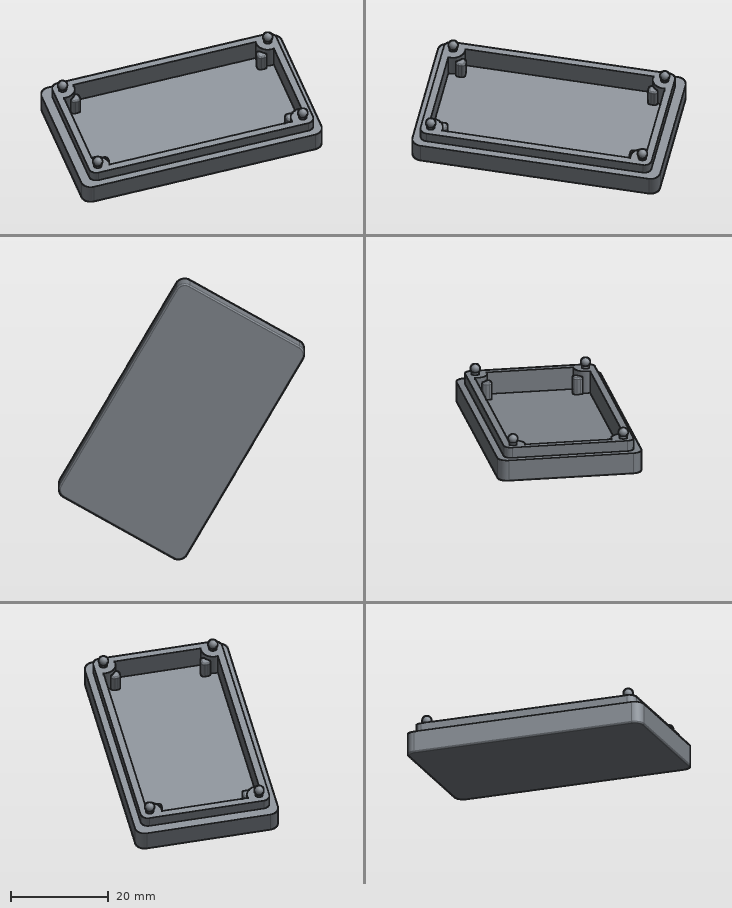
import cadquery as cq

width = 29.9
length = 51.65
total_height = 8.9

base_height = 4.5
lip_height = 2.2
floor_thickness = 2.0
corner_radius = 2.0
bottom_fillet = 0.3
lip_inset = 1.5
front_setback = 0.5
lip_corner_radius = 1.5
cavity_inset = 2 * lip_inset
lip_top = base_height + lip_height
lip_center_y = front_setback / 2
lip_length = length - front_setback

pin_inset = 3.5
boss_radius = 2.5
stem_diameter = 1.6
ball_diameter = 2.0
ball_center_z = total_height - ball_diameter / 2

post_size = 2.0
post_offset = 2.0
post_top = 5.65
post_corner_radius = 0.65
post_top_fillet = 0.3

pin_x = width / 2 - pin_inset
pin_reach_y = lip_length / 2 - pin_inset


def lip_block(inset, bottom, top):
    """Block inset from the outline, with the extra setback on the -Y side."""
    return (
        cq.Workplane("XY")
        .workplane(offset=bottom)
        .center(0, lip_center_y)
        .rect(width - 2 * inset, lip_length - 2 * inset)
        .extrude(top - bottom)
    )


def cylinder(x, y, radius, bottom, top):
    """Upright cylinder between two heights."""
    return cq.Workplane("XY").workplane(offset=bottom).center(x, y).circle(radius).extrude(top - bottom)


def post(x, y):
    """Square post with rounded corners and a rounded top edge."""
    return (
        cq.Workplane("XY")
        .workplane(offset=floor_thickness)
        .center(x, y)
        .rect(post_size, post_size)
        .extrude(post_top - floor_thickness)
        .edges("|Z")
        .fillet(post_corner_radius)
        .faces(">Z")
        .edges()
        .fillet(post_top_fillet)
    )


def open_tray():
    """Base and lip with the cavity removed, before the corner features."""
    base = cq.Workplane("XY").rect(width, length).extrude(base_height)
    base = base.edges("|Z").fillet(corner_radius)
    base = base.faces("<Z").edges().fillet(bottom_fillet)
    lip = lip_block(lip_inset, floor_thickness, lip_top).edges("|Z").fillet(lip_corner_radius)
    return base.union(lip).cut(lip_block(cavity_inset, floor_thickness, lip_top))


def boss(x, y):
    """Round boss, trimmed so it stays within the cavity."""
    cavity = lip_block(cavity_inset, floor_thickness, lip_top)
    return cylinder(x, y, boss_radius, floor_thickness, lip_top).intersect(cavity)


def ball_pin(x, y):
    """Stem rising through the boss to a ball head."""
    stem = cylinder(x, y, stem_diameter / 2, floor_thickness, ball_center_z)
    ball = cq.Workplane("XY").sphere(ball_diameter / 2).translate((x, y, ball_center_z))
    return stem.union(ball)


result = open_tray()
for side_x in (-1, 1):
    for side_y in (-1, 1):
        x = side_x * pin_x
        y = lip_center_y + side_y * pin_reach_y
        corner_post = post(x - side_x * post_offset, y - side_y * post_offset)
        result = result.union(boss(x, y)).union(ball_pin(x, y)).union(corner_post)